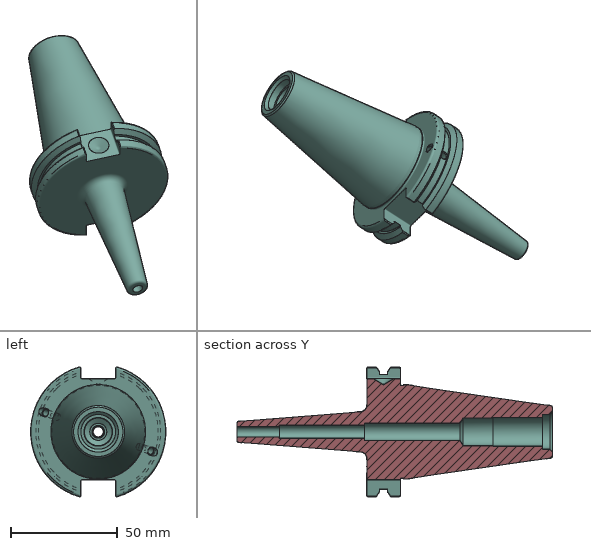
import math

import cadquery as cq


gauge_radius = 44.45 / 2
taper_length = 68.25
taper_rise = 3.5 / 24
taper_small_radius = gauge_radius - taper_length * taper_rise
taper_end_chamfer = 0.7
gauge_land_end = 1.85
relief_radius = 43.6 / 2
relief_root_fillet = 0.45

flange_start = 3.175
flange_end = 19.05
flange_radius = 63.5 / 2
flange_fillet = 1.0

groove_center = 11.15
groove_mouth_width = 7.1
groove_floor_width = 3.7
groove_floor_radius = 56.36 / 2
groove_flank_angle = 35.0

nose_length = 80.0
nose_radius = 19.0 / 2
nose_root_fillet = 3.0
nose_land = 0.5
nose_angle = 4.5
tip_fillet = 1.2

thread_mouth_radius = 19.0 / 2
pilot_radius = 16.3 / 2
pilot_depth = 4.75
thread_radius = 13.39 / 2
thread_depth = 28.0
drill_radius = 13.0 / 2
drill_depth = 42.0
drill_half_angle = 59.0
passage_radius = 8.0 / 2
passage_end = 20.0
clearance_radius = 6.0 / 2
clearance_end = 60.0
tool_radius = 4.76 / 2

slot_width = 16.3
slot_mouth_chamfer = 0.5
slot_floor_fillet = 0.5
slot_clearance = 1.0
upper_slot_floor = 25.0
lower_slot_floor = 22.6
dimple_radius = 9.53 / 2
dimple_half_angle = 59.0

channel_angle = 20.0
channel_mouth_position = 27.0
channel_tilt = 40.0
channel_radius = 3.24 / 2
counterbore_radius = 4.0 / 2
counterbore_depth = 1.2
countersink_radius = 4.2 / 2


def revolve_about_x(outline):
    return outline.close().revolve(360, (0, 0, 0), (1, 0, 0))


def taper_shank():
    root_arc_middle = relief_root_fillet * (1 - math.sqrt(0.5))
    outline = (
        cq.Workplane("XY")
        .moveTo(-taper_length, 0)
        .lineTo(-taper_length, taper_small_radius - taper_end_chamfer)
        .lineTo(-taper_length + taper_end_chamfer, taper_small_radius + taper_end_chamfer * taper_rise)
        .lineTo(0, gauge_radius)
        .lineTo(gauge_land_end, gauge_radius)
        .lineTo(gauge_land_end, relief_radius)
        .lineTo(flange_start - relief_root_fillet, relief_radius)
        .threePointArc(
            (flange_start - root_arc_middle, relief_radius + root_arc_middle),
            (flange_start, relief_radius + relief_root_fillet),
        )
        .lineTo(flange_start, 0)
    )
    return revolve_about_x(outline)


def flange():
    length = flange_end - flange_start
    disc = cq.Workplane("YZ", origin=(flange_start, 0, 0)).circle(flange_radius).extrude(length)
    return disc.edges("%CIRCLE").fillet(flange_fillet)


def groove():
    half_floor = groove_floor_width / 2
    flank_slope = math.tan(math.radians(groove_flank_angle))
    half_mouth = groove_mouth_width / 2
    flank_end_radius = flange_radius - (half_mouth - half_floor) / flank_slope
    outline = (
        cq.Workplane("XY")
        .moveTo(groove_center - half_floor, groove_floor_radius)
        .lineTo(groove_center - half_floor, flank_end_radius)
        .lineTo(groove_center - half_mouth, flange_radius)
        .lineTo(groove_center + half_mouth, flange_radius)
        .lineTo(groove_center + half_floor, flank_end_radius)
        .lineTo(groove_center + half_floor, groove_floor_radius)
    )
    return revolve_about_x(outline)


def nose():
    cone_start = flange_end + nose_root_fillet + nose_land
    tip_radius = nose_radius - (nose_length - cone_start) * math.tan(math.radians(nose_angle))
    arc_middle = nose_root_fillet * (1 - math.sqrt(0.5))
    outline = (
        cq.Workplane("XY")
        .moveTo(flange_end, 0)
        .lineTo(flange_end, nose_radius + nose_root_fillet)
        .threePointArc(
            (flange_end + arc_middle, nose_radius + arc_middle),
            (flange_end + nose_root_fillet, nose_radius),
        )
        .lineTo(cone_start, nose_radius)
        .lineTo(nose_length, tip_radius)
        .lineTo(nose_length, 0)
    )
    return revolve_about_x(outline).faces(">X").edges().fillet(tip_fillet)


def bore():
    mouth_x = -taper_length
    drill_cone = (drill_radius - passage_radius) / math.tan(math.radians(drill_half_angle))
    outline = (
        cq.Workplane("XY")
        .moveTo(mouth_x, 0)
        .lineTo(mouth_x, thread_mouth_radius)
        .lineTo(mouth_x + thread_mouth_radius - pilot_radius, pilot_radius)
        .lineTo(mouth_x + pilot_depth, pilot_radius)
        .lineTo(mouth_x + pilot_depth, thread_radius)
        .lineTo(mouth_x + thread_depth, thread_radius)
        .lineTo(mouth_x + thread_depth, drill_radius)
        .lineTo(mouth_x + drill_depth, drill_radius)
        .lineTo(mouth_x + drill_depth + drill_cone, passage_radius)
        .lineTo(passage_end, passage_radius)
        .lineTo(passage_end, clearance_radius)
        .lineTo(clearance_end, clearance_radius)
        .lineTo(clearance_end, tool_radius)
        .lineTo(nose_length, tool_radius)
        .lineTo(nose_length, 0)
    )
    return revolve_about_x(outline)


def drive_slot(floor, turn):
    half_width = slot_width / 2
    half_mouth = half_width + slot_mouth_chamfer
    mouth_z = math.sqrt(flange_radius**2 - half_mouth**2)
    wall_top = mouth_z - slot_mouth_chamfer
    top = flange_radius + slot_clearance
    half_top = half_width + top - wall_top
    cutter = (
        cq.Workplane("YZ", origin=(flange_start, 0, 0))
        .moveTo(-half_width, floor)
        .lineTo(half_width, floor)
        .lineTo(half_width, wall_top)
        .lineTo(half_top, top)
        .lineTo(-half_top, top)
        .lineTo(-half_width, wall_top)
        .close()
        .extrude(flange_end - flange_start)
    )
    cutter = cutter.faces("<Z").edges("|X").fillet(slot_floor_fillet)
    return cutter.rotate((0, 0, 0), (1, 0, 0), turn)


def dimple():
    depth = dimple_radius / math.tan(math.radians(dimple_half_angle))
    center = cq.Vector(groove_center, 0, upper_slot_floor)
    return cq.Workplane(cq.Solid.makeCone(dimple_radius, 0, depth, center, cq.Vector(0, 0, -1)))


def slanted_channel():
    tilt = math.radians(channel_tilt)
    direction = cq.Vector(math.cos(tilt), -math.sin(tilt), 0)
    mouth = cq.Vector(flange_start, channel_mouth_position, 0)
    overrun = 2 * counterbore_radius
    length = (groove_center - flange_start) / math.cos(tilt)
    bore_cylinder = cq.Solid.makeCylinder(channel_radius, length, mouth, direction)
    counterbore = cq.Solid.makeCylinder(
        counterbore_radius,
        counterbore_depth + overrun,
        mouth - direction * overrun,
        direction,
    )
    return cq.Workplane(bore_cylinder).union(cq.Workplane(counterbore))


def radial_channel():
    outward = cq.Vector(0, 1, 0)
    drop = (groove_center - flange_start) * math.tan(math.radians(channel_tilt))
    meeting_radius = channel_mouth_position - drop
    inner_end = cq.Vector(groove_center, meeting_radius, 0)
    bore_cylinder = cq.Solid.makeCylinder(channel_radius, flange_radius - meeting_radius, inner_end, outward)
    sink_depth = countersink_radius - channel_radius
    sink_start = cq.Vector(groove_center, groove_floor_radius - sink_depth, 0)
    countersink = cq.Solid.makeCone(channel_radius, countersink_radius, sink_depth, sink_start, outward)
    return cq.Workplane(bore_cylinder).union(cq.Workplane(countersink))


result = taper_shank().union(flange().cut(groove())).union(nose()).cut(bore())
result = result.cut(drive_slot(upper_slot_floor, 0)).cut(drive_slot(lower_slot_floor, 180)).cut(dimple())
channels = slanted_channel().union(radial_channel())
for turn in (channel_angle, channel_angle + 180):
    result = result.cut(channels.rotate((0, 0, 0), (1, 0, 0), turn))